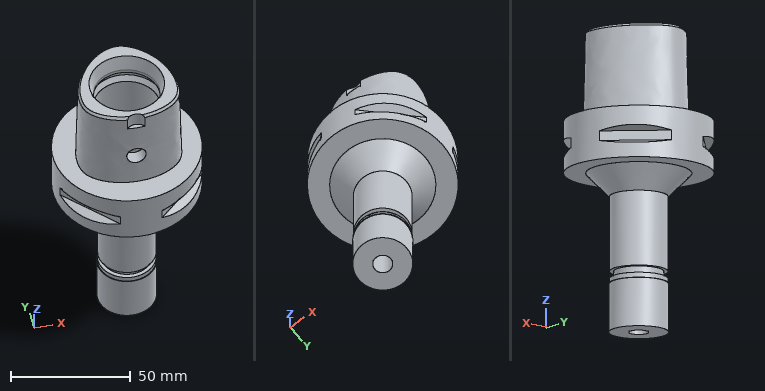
import cadquery as cq
import math

OVERALL_LENGTH = 128.0

SHANK_LENGTH = 38.0
SHANK_BASE_RADIUS = 22.1
TAPER_PER_LENGTH = 1 / 40
LOBE_HEIGHT = 1.4
OUTLINE_POINTS = 24
TIP_CHAMFER_HEIGHT = 1.2
TIP_CHAMFER_INSET = 0.9

FLANGE_DIAMETER = 63.0
FLANGE_THICKNESS = 22.0
CONE_TOP_DIAMETER = 44.3
CONE_HEIGHT = 10.0
STEM_DIAMETER = 24.6
STEM_LENGTH = 32.0
NECK_DIAMETER = 21.0
NECK_LENGTH = 3.1

MOUTH_DIAMETER = 31.5
LAND_DIAMETER = 27.9
LAND_DEPTH = 6.5
GROOVE_DEPTH = 8.0
GROOVE_DIAMETER = 31.2
GROOVE_CONE_DEPTH = 11.3
BORE_DEPTH = 13.6
BORE_BOTTOM_DEPTH = 38.0
COUNTERBORE_DIAMETER = 18.3
COUNTERBORE_BOTTOM_DEPTH = 60.2
COOLANT_DIAMETER = 8.3

NOTCH_DEPTH = 6.3
NOTCH_RADIUS = 4.9
NOTCH_FLOOR_Y = -17.9
INDEX_HOLE_DIAMETER = 8.2
INDEX_HOLE_HEIGHT = 15.4
INDEX_HOLE_FLOOR_Y = -14.7

SLOT_COUNT = 4
SLOT_FLOOR_DISTANCE = 27.6
SLOT_FLOOR_HEIGHT = 4.1
SLOT_MOUTH_HEIGHT = 7.7
SLOT_CENTRE_Z = -12.0
FIRST_SLOT_ANGLE = 45

NUT_DIAMETER = 25.1
NUT_RIM_DIAMETER = 24.6
NUT_RIM_HEIGHT = 2.2

TIP_Z = SHANK_LENGTH
CONE_TOP_Z = -FLANGE_THICKNESS
STEM_TOP_Z = CONE_TOP_Z - CONE_HEIGHT
NECK_TOP_Z = STEM_TOP_Z - STEM_LENGTH
NUT_TOP_Z = NECK_TOP_Z - NECK_LENGTH
NUT_BOTTOM_Z = TIP_Z - OVERALL_LENGTH


def polygon_wire(mean_radius, z):
    """Constant-width three-lobed outline with one lobe toward +Y."""
    points = []
    for i in range(OUTLINE_POINTS):
        angle = 2 * math.pi * i / OUTLINE_POINTS
        reach = mean_radius + LOBE_HEIGHT * math.cos(3 * angle)
        slide = -3 * LOBE_HEIGHT * math.sin(3 * angle)
        x = -reach * math.sin(angle) - slide * math.cos(angle)
        y = reach * math.cos(angle) - slide * math.sin(angle)
        points.append(cq.Vector(x, y, z))
    return cq.Wire.assembleEdges([cq.Edge.makeSpline(points, periodic=True)])


def polygon_frustum(lower_radius, lower_z, upper_radius, upper_z):
    wires = [polygon_wire(lower_radius, lower_z), polygon_wire(upper_radius, upper_z)]
    return cq.Workplane(cq.Solid.makeLoft(wires, True))


def revolve_profile(points):
    """Turn a closed (radius, z) profile about the Z axis."""
    return cq.Workplane("XZ").polyline(points).close().revolve(360, (0, 0), (0, 1))


def make_shank():
    chamfer_z = TIP_Z - TIP_CHAMFER_HEIGHT
    chamfer_radius = SHANK_BASE_RADIUS - TAPER_PER_LENGTH * chamfer_z
    taper = polygon_frustum(SHANK_BASE_RADIUS, 0, chamfer_radius, chamfer_z)
    tip = polygon_frustum(chamfer_radius, chamfer_z, chamfer_radius - TIP_CHAMFER_INSET, TIP_Z)
    return taper.union(tip)


def make_flange_and_stem():
    return revolve_profile([
        (0, 0),
        (FLANGE_DIAMETER / 2, 0),
        (FLANGE_DIAMETER / 2, CONE_TOP_Z),
        (CONE_TOP_DIAMETER / 2, CONE_TOP_Z),
        (STEM_DIAMETER / 2, STEM_TOP_Z),
        (STEM_DIAMETER / 2, NECK_TOP_Z),
        (NECK_DIAMETER / 2, NECK_TOP_Z),
        (NECK_DIAMETER / 2, NUT_TOP_Z),
        (0, NUT_TOP_Z),
    ])


def make_bore():
    return revolve_profile([
        (0, TIP_Z),
        (MOUTH_DIAMETER / 2, TIP_Z),
        (LAND_DIAMETER / 2, TIP_Z - LAND_DEPTH),
        (LAND_DIAMETER / 2, TIP_Z - GROOVE_DEPTH),
        (GROOVE_DIAMETER / 2, TIP_Z - GROOVE_DEPTH),
        (GROOVE_DIAMETER / 2, TIP_Z - GROOVE_CONE_DEPTH),
        (LAND_DIAMETER / 2, TIP_Z - BORE_DEPTH),
        (LAND_DIAMETER / 2, TIP_Z - BORE_BOTTOM_DEPTH),
        (COUNTERBORE_DIAMETER / 2, TIP_Z - BORE_BOTTOM_DEPTH),
        (COUNTERBORE_DIAMETER / 2, TIP_Z - COUNTERBORE_BOTTOM_DEPTH),
        (COOLANT_DIAMETER / 2, TIP_Z - COUNTERBORE_BOTTOM_DEPTH),
        (COOLANT_DIAMETER / 2, NUT_TOP_Z),
        (0, NUT_TOP_Z),
    ])


def make_notch():
    """Round-backed notch, open at the tip."""
    return (
        cq.Workplane("XY", origin=(0, NOTCH_FLOOR_Y - NOTCH_RADIUS, TIP_Z - NOTCH_DEPTH))
        .circle(NOTCH_RADIUS)
        .extrude(NOTCH_DEPTH)
    )


def make_index_hole():
    return (
        cq.Workplane("XZ", origin=(0, INDEX_HOLE_FLOOR_Y, INDEX_HOLE_HEIGHT))
        .circle(INDEX_HOLE_DIAMETER / 2)
        .extrude(SHANK_BASE_RADIUS)
    )


def make_gripper_slot(angle):
    """Straight slot whose sides flare outward, cut across the rim at an angle from +X."""
    rim = FLANGE_DIAMETER / 2
    floor_half = SLOT_FLOOR_HEIGHT / 2
    mouth_half = SLOT_MOUTH_HEIGHT / 2
    return (
        cq.Workplane("XZ", origin=(0, 0, SLOT_CENTRE_Z))
        .polyline([
            (SLOT_FLOOR_DISTANCE, -floor_half),
            (rim, -mouth_half),
            (rim, mouth_half),
            (SLOT_FLOOR_DISTANCE, floor_half),
        ])
        .close()
        .extrude(rim, both=True)
        .rotate((0, 0, 0), (0, 0, 1), angle)
    )


def make_holder():
    holder = make_flange_and_stem().union(make_shank())
    holder = holder.cut(make_bore()).cut(make_notch()).cut(make_index_hole())
    for i in range(SLOT_COUNT):
        holder = holder.cut(make_gripper_slot(FIRST_SLOT_ANGLE + i * 360 / SLOT_COUNT))
    return holder


def make_nut():
    rim_z = NUT_TOP_Z - NUT_RIM_HEIGHT
    return revolve_profile([
        (COOLANT_DIAMETER / 2, NUT_TOP_Z),
        (NUT_RIM_DIAMETER / 2, NUT_TOP_Z),
        (NUT_RIM_DIAMETER / 2, rim_z),
        (NUT_DIAMETER / 2, rim_z),
        (NUT_DIAMETER / 2, NUT_BOTTOM_Z),
        (COOLANT_DIAMETER / 2, NUT_BOTTOM_Z),
    ])


holder = make_holder()
nut = make_nut()
result = cq.Compound.makeCompound([holder.val(), nut.val()])